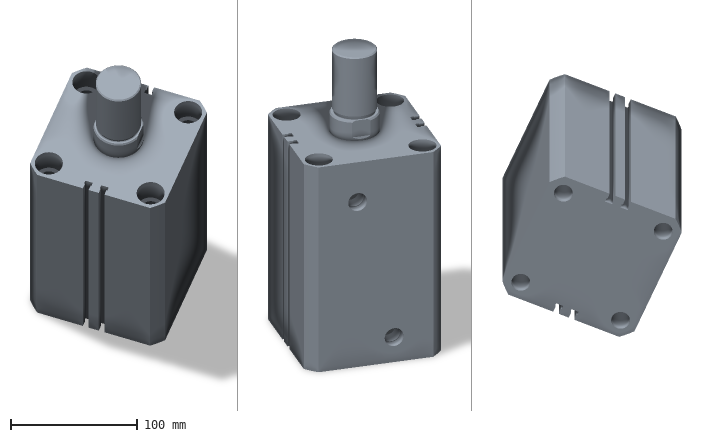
import cadquery as cq
import math

SIDE = 114.0
HEIGHT = 180.0
CORNER_SETBACK = 9.3

HOLE_SPACING = 86.0
HOLE_DIAMETER = 14.9
COUNTERBORE_DIAMETER = 22.2
COUNTERBORE_DEPTH = 20.2

SLOT_SPACING = 13.4
SLOT_MOUTH_WIDTH = 4.8
SLOT_FLOOR_WIDTH = 6.3
SLOT_LIP = 4.8
SLOT_DEPTH = 7.8

PORT_DIAMETER = 15.5
PORT_DEPTH = 7.8
PORT_CORE_DIAMETER = 14.4
PORT_CORE_DEPTH = 20.2
PORT_OFFSET = 15.0
UPPER_PORT_HEIGHT = 145.0
LOWER_PORT_HEIGHT = 22.0

TOTAL_HEIGHT = 252.0
COLLAR_DIAMETER = 39.8
COLLAR_HEIGHT = 17.5
COLLAR_CHAMFER_HEIGHT = 1.5
COLLAR_CHAMFER_WIDTH = 0.88
NECK_DIAMETER = 33.5
NECK_HEIGHT = 3.0
STUD_DIAMETER = 36.0
STUD_CHAMFER = 1.0
FLAT_SPACING = 36.8
FLAT_BOTTOM = 3.0


def block():
    """Square prism whose corners are turned about the Z axis."""
    corner_radius = math.hypot(SIDE / 2, SIDE / 2 - CORNER_SETBACK)
    square = cq.Workplane("XY").rect(SIDE, SIDE).extrude(HEIGHT)
    return square.intersect(cq.Workplane("XY").circle(corner_radius).extrude(HEIGHT))


def slot_cutter(x, side):
    """T-slot along Z, open to the face on the given side (+1 or -1) of Y."""
    lip_y = side * (SIDE / 2 - SLOT_LIP)
    floor_y = side * (SIDE / 2 - SLOT_DEPTH)
    mouth = (
        cq.Workplane("XY")
        .center(x, side * (SIDE - SLOT_LIP) / 2)
        .rect(SLOT_MOUTH_WIDTH, SLOT_LIP)
        .extrude(HEIGHT)
    )
    undercut = (
        cq.Workplane("XY")
        .center(x, (lip_y + floor_y) / 2)
        .rect(SLOT_FLOOR_WIDTH, SLOT_DEPTH - SLOT_LIP)
        .extrude(HEIGHT)
    )
    return mouth.union(undercut)


def port_cutter(y, z):
    """Stepped, flat-bottomed round port entering along +X."""
    face = cq.Workplane("YZ", origin=(-SIDE / 2, y, z))
    port = face.circle(PORT_DIAMETER / 2).extrude(PORT_DEPTH)
    core = face.circle(PORT_CORE_DIAMETER / 2).extrude(PORT_CORE_DEPTH)
    return port.union(core)


def make_housing():
    body = (
        block()
        .faces(">Z")
        .workplane(origin=(0, 0, HEIGHT))
        .rect(HOLE_SPACING, HOLE_SPACING, forConstruction=True)
        .vertices()
        .cboreHole(HOLE_DIAMETER, COUNTERBORE_DIAMETER, COUNTERBORE_DEPTH)
    )
    for side in (-1, 1):
        for x in (-SLOT_SPACING / 2, SLOT_SPACING / 2):
            body = body.cut(slot_cutter(x, side))
    body = body.cut(port_cutter(PORT_OFFSET, UPPER_PORT_HEIGHT))
    return body.cut(port_cutter(-PORT_OFFSET, LOWER_PORT_HEIGHT))


def flat_cutter():
    """Prism that cuts the flat on the +X side, running out at 45 degrees at its lower end."""
    flat_x = FLAT_SPACING / 2
    reach = COLLAR_DIAMETER - flat_x
    profile = [
        (flat_x, FLAT_BOTTOM),
        (flat_x, COLLAR_HEIGHT),
        (flat_x + reach, COLLAR_HEIGHT),
        (flat_x + reach, FLAT_BOTTOM - reach),
    ]
    prism = cq.Workplane("XZ").polyline(profile).close().extrude(COLLAR_DIAMETER / 2, both=True)
    return prism.translate((0, 0, HEIGHT))


def make_rod():
    collar = (
        cq.Workplane("XY")
        .workplane(offset=HEIGHT)
        .circle(COLLAR_DIAMETER / 2)
        .extrude(COLLAR_HEIGHT)
        .faces(">Z")
        .chamfer(COLLAR_CHAMFER_HEIGHT, COLLAR_CHAMFER_WIDTH)
    )
    flat = flat_cutter()
    collar = collar.cut(flat).cut(flat.mirror("YZ"))

    neck_bottom = HEIGHT + COLLAR_HEIGHT
    stud_bottom = neck_bottom + NECK_HEIGHT
    neck = cq.Workplane("XY").workplane(offset=neck_bottom).circle(NECK_DIAMETER / 2).extrude(NECK_HEIGHT)
    stud = (
        cq.Workplane("XY")
        .workplane(offset=stud_bottom)
        .circle(STUD_DIAMETER / 2)
        .extrude(TOTAL_HEIGHT - stud_bottom)
        .faces(">Z")
        .chamfer(STUD_CHAMFER)
    )
    return collar.union(neck).union(stud)


housing = make_housing()
rod = make_rod()

result = cq.Compound.makeCompound([housing.val(), rod.val()])